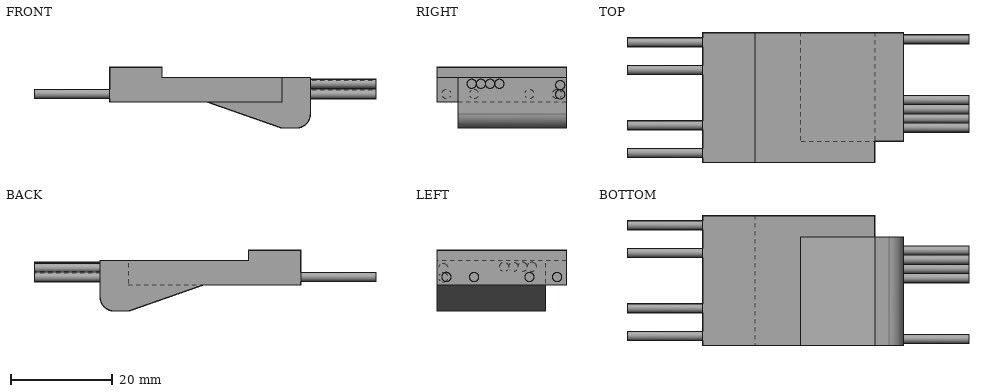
import cadquery as cq

housing_length = 39.65
housing_width = 25.6
housing_height = 6.95
step_length = 10.4
step_drop = 2.0
deck_height = housing_height - step_drop

notch_length = 5.65
notch_width = 4.2
flat_start = housing_length - notch_length

foot_depth = 5.1
foot_start = 19.35
foot_radius = 2.8

wire_diameter = 1.8
wire_radius = wire_diameter / 2
overall_length = 67.45
lead_length = 14.85
cable_length = overall_length - lead_length - housing_length

lead_height = 1.6
inner_lead_offset = 5.45
outer_lead_offset = 2 * inner_lead_offset

pair_wires = 2
pair_y = housing_width - 1.3
pair_top_z = 3.4
ribbon_wires = 4
ribbon_first_y = housing_width - 13.3
ribbon_z = 3.65


def make_wire(x, y, z, length):
    """Round wire running along +X from the given point."""
    return cq.Workplane("YZ", origin=(x, y, z)).circle(wire_radius).extrude(length)


def make_housing():
    board = (
        cq.Workplane("XZ")
        .moveTo(0, 0)
        .lineTo(housing_length, 0)
        .lineTo(housing_length, deck_height)
        .lineTo(step_length, deck_height)
        .lineTo(step_length, housing_height)
        .lineTo(0, housing_height)
        .close()
        .extrude(-housing_width)
    )
    notch = (
        cq.Workplane("XY", origin=(flat_start, 0, 0))
        .box(notch_length, notch_width, deck_height, centered=False)
    )
    foot = (
        cq.Workplane("XZ", origin=(0, notch_width, 0))
        .moveTo(foot_start, 0)
        .lineTo(flat_start, -foot_depth)
        .lineTo(housing_length - foot_radius, -foot_depth)
        .radiusArc((housing_length, foot_radius - foot_depth), -foot_radius)
        .lineTo(housing_length, 0)
        .close()
        .extrude(notch_width - housing_width)
    )
    return board.cut(notch).union(foot)


def add_leads(body):
    """Join the four leads to the -X face of the housing."""
    for offset in (-outer_lead_offset, -inner_lead_offset, inner_lead_offset, outer_lead_offset):
        lead = make_wire(-lead_length, housing_width / 2 + offset, lead_height, lead_length)
        body = body.union(lead)
    return body


def make_cable_wire(y, z):
    """One wire leaving the +X face of the housing."""
    return make_wire(housing_length, y, z, cable_length)


housing = add_leads(make_housing())

stacked_wires = []
for i in range(pair_wires):
    stacked_wires.append(make_cable_wire(pair_y, pair_top_z - i * wire_diameter).val())

flat_wires = []
for i in range(ribbon_wires):
    flat_wires.append(make_cable_wire(ribbon_first_y - i * wire_diameter, ribbon_z).val())

result = cq.Compound.makeCompound([housing.val(), *stacked_wires, *flat_wires])